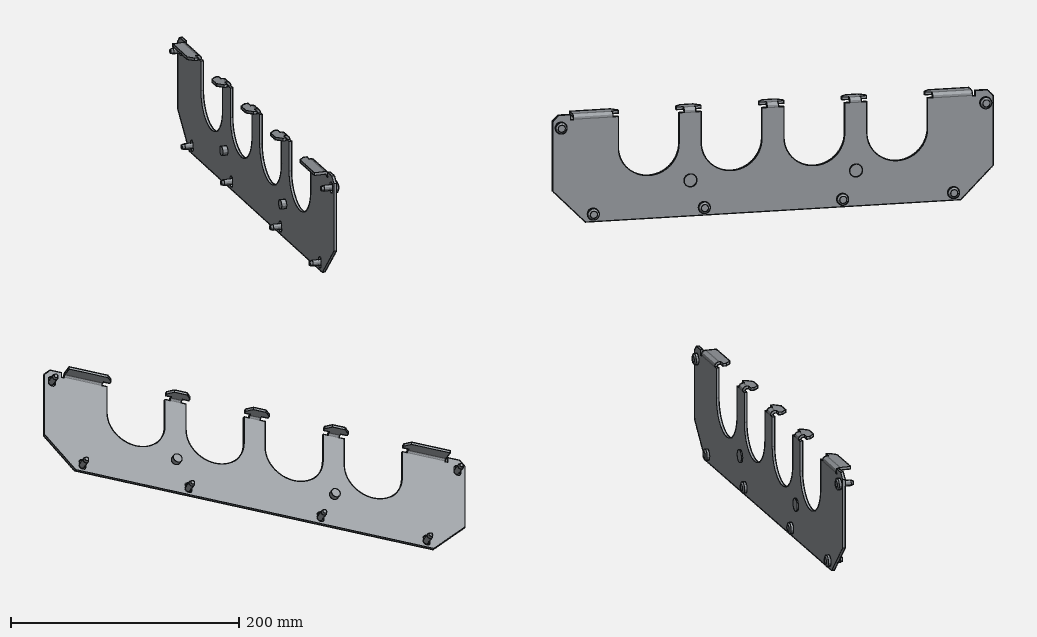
import cadquery as cq

plate_length = 398.0
plate_height = 97.5
plate_thickness = 2.5
lower_corner_cut = 29.5
upper_corner_cut = 5.0

opening_count = 4
opening_width = 55.0
opening_depth = 59.0
tooth_width = 20.0
opening_pitch = opening_width + tooth_width

hook_thickness = plate_thickness
hook_reach = 14.0
bend_inner_radius = 1.5
bend_outer_radius = bend_inner_radius + hook_thickness
shoulder_width = 4.8
shoulder_drop = bend_outer_radius
hook_overhang = 1.0
hook_corner_cut = 5.0
hook_back = 5.5

notch_width = 2.5
notch_depth = 4.8
notch_outer_side = 182.5

screw_diameter = 5.0
screw_reach = 12.0
screw_tip_length = 2.5
screw_tip_cut = 0.8
screw_head_diameter = 10.5
screw_head_height = 3.5
screw_rim_height = 2.5
screw_crown_diameter = 6.5
screw_slot_width = 6.5
screw_slot_height = 10.0
upper_screw_x = 192.0
upper_screw_z = plate_height - 11.0
lower_screw_z = 7.0
outer_lower_screw_x = 162.8
inner_lower_screw_x = 62.5

stud_diameter = 8.5
stud_reach = 7.0
stud_head_diameter = 11.5
stud_head_height = 1.0
stud_x = opening_pitch
stud_z = 32.2

half_length = plate_length / 2
opening_centres = [(i - (opening_count - 1) / 2) * opening_pitch for i in range(opening_count)]
tooth_centres = [(i - (opening_count - 2) / 2) * opening_pitch for i in range(opening_count - 1)]
end_land_side = opening_centres[-1] + opening_width / 2

upper_screw_places = [(side * upper_screw_x, upper_screw_z) for side in (-1, 1)]
lower_screw_places = [
    (side * x, lower_screw_z) for side in (-1, 1) for x in (outer_lower_screw_x, inner_lower_screw_x)
]
screw_places = upper_screw_places + lower_screw_places
stud_places = [(side * stud_x, stud_z) for side in (-1, 1)]


def slab(x_min, x_max, z_min, z_max):
    """A block as thick as the plate, lying in the plate."""
    return cq.Workplane("XY").box(
        x_max - x_min, plate_thickness, z_max - z_min, centered=False
    ).translate((x_min, -plate_thickness, z_min))


def disc(diameter, y_start, y_end):
    """A cylinder along Y."""
    return cq.Workplane("XZ", origin=(0, y_start, 0)).circle(diameter / 2).extrude(y_start - y_end)


def make_blank():
    """The flat plate, with its corners cut and its openings."""
    blank = (
        cq.Workplane("XZ")
        .moveTo(-half_length + lower_corner_cut, 0)
        .lineTo(half_length - lower_corner_cut, 0)
        .lineTo(half_length, lower_corner_cut)
        .lineTo(half_length, plate_height - upper_corner_cut)
        .lineTo(half_length - upper_corner_cut, plate_height)
        .lineTo(-half_length + upper_corner_cut, plate_height)
        .lineTo(-half_length, plate_height - upper_corner_cut)
        .lineTo(-half_length, lower_corner_cut)
        .close()
        .extrude(plate_thickness)
    )
    radius = opening_width / 2
    arc_z = plate_height - opening_depth + radius
    for x in opening_centres:
        opening = (
            cq.Workplane("XZ")
            .moveTo(x - radius, plate_height)
            .lineTo(x - radius, arc_z)
            .threePointArc((x, arc_z - radius), (x + radius, arc_z))
            .lineTo(x + radius, plate_height)
            .close()
            .extrude(plate_thickness)
        )
        blank = blank.cut(opening)
    return blank


def make_hook(neck_min, neck_max, left_hooked, right_hooked):
    """A bent tab: a neck that rises from the plate and bends forward, and a wider flat end.

    On a hooked side the flat end reaches past the neck and has its front corner cut.
    """
    top = plate_height
    bend = (
        cq.Workplane("YZ", origin=(neck_min, 0, 0))
        .moveTo(0, top - bend_outer_radius)
        .radiusArc((-bend_outer_radius, top), -bend_outer_radius)
        .lineTo(-hook_back, top)
        .lineTo(-hook_back, top - hook_thickness)
        .lineTo(-bend_outer_radius, top - hook_thickness)
        .radiusArc((-plate_thickness, top - bend_outer_radius), bend_inner_radius)
        .close()
        .extrude(neck_max - neck_min)
    )
    widening = shoulder_width + hook_overhang
    x_min = neck_min - widening * left_hooked
    x_max = neck_max + widening * right_hooked
    flat_end = cq.Workplane("XY").box(
        x_max - x_min, hook_reach - hook_back, hook_thickness, centered=False
    ).translate((x_min, -hook_reach, top - hook_thickness))
    if left_hooked:
        flat_end = flat_end.edges("|Z and <X and <Y").chamfer(hook_corner_cut)
    if right_hooked:
        flat_end = flat_end.edges("|Z and >X and <Y").chamfer(hook_corner_cut)
    return bend.union(flat_end)


def make_plate():
    """The plate with its hooks, notches, screw slots and stud holes."""
    plate = make_blank()
    notch_inner_side = notch_outer_side - notch_width
    shoulder_z = plate_height - shoulder_drop
    plate = plate.cut(slab(-notch_inner_side, notch_inner_side, shoulder_z, plate_height))
    for x in tooth_centres:
        neck_half = tooth_width / 2 - shoulder_width
        plate = plate.union(make_hook(x - neck_half, x + neck_half, True, True))
    neck_side = end_land_side + shoulder_width
    plate = plate.union(make_hook(-notch_inner_side, -neck_side, False, True))
    plate = plate.union(make_hook(neck_side, notch_inner_side, True, False))
    for side in (-notch_outer_side, notch_inner_side):
        plate = plate.cut(slab(side, side + notch_width, plate_height - notch_depth, plate_height))
    screw_slots = (
        cq.Workplane("XZ")
        .pushPoints(screw_places)
        .slot2D(screw_slot_height, screw_slot_width, 90)
        .extrude(plate_thickness)
    )
    stud_holes = cq.Workplane("XZ").pushPoints(stud_places).circle(stud_diameter / 2).extrude(plate_thickness)
    return plate.cut(screw_slots).cut(stud_holes)


def make_screw(x, z):
    """A screw with a low domed head on the back face and a tapered tip."""
    shank = disc(screw_diameter, 0, -screw_reach).faces("<Y").chamfer(screw_tip_length, screw_tip_cut)
    crown_height = screw_head_height - screw_rim_height
    crown_inset = (screw_head_diameter - screw_crown_diameter) / 2
    head = disc(screw_head_diameter, screw_head_height, 0).faces(">Y").chamfer(crown_height, crown_inset)
    return shank.union(head).translate((x, 0, z))


def make_stud(x, z):
    """A plain round stud with a thin head on the back face."""
    body = disc(stud_diameter, 0, -stud_reach)
    head = disc(stud_head_diameter, stud_head_height, 0)
    return body.union(head).translate((x, 0, z))


plate = make_plate()
screws = [make_screw(x, z) for x, z in screw_places]
studs = [make_stud(x, z) for x, z in stud_places]

result = cq.Compound.makeCompound(
    [plate.val(), *[screw.val() for screw in screws], *[stud.val() for stud in studs]]
)